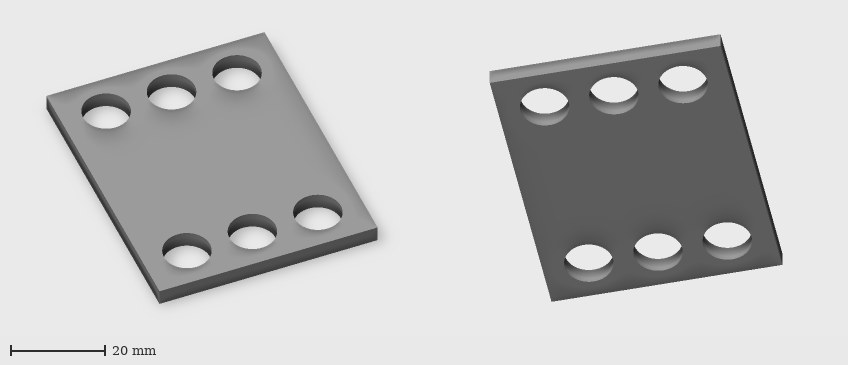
import cadquery as cq

plate_length = 63.0
plate_width = 50.0
plate_thickness = 3.8

hole_diameter = 10.5
column_spacing = 45.0
row_spacing = 15.0
column_count = 2
row_count = 3


def make_plate():
    """Plain rectangular plate centred on the origin."""
    return cq.Workplane("XY").box(plate_length, plate_width, plate_thickness)


def drill_holes(plate):
    """Drill the hole grid through the full thickness."""
    return (
        plate.faces(">Z")
        .workplane()
        .rarray(column_spacing, row_spacing, column_count, row_count)
        .hole(hole_diameter)
    )


result = drill_holes(make_plate())